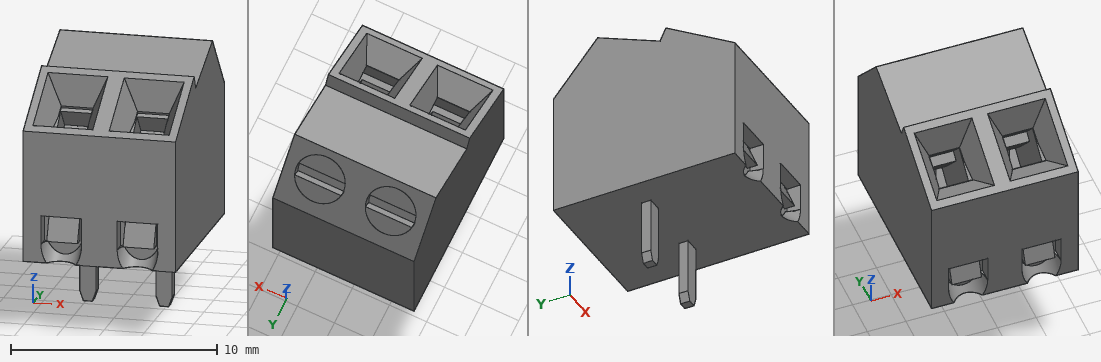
import cadquery as cq
import math


overall_height = 13.0

pole_count = 2
pole_pitch = 3.81
housing_width = pole_count * pole_pitch
housing_depth = 10.0
front_wall_top = 6.62
entry_ridge_y, entry_ridge_z = 3.8, 8.8
notch_y, notch_z = 4.12, 8.12
peak_y, peak_z = 7.55, 9.5
back_wall_top = 6.64

screw_face_y = 8.67
head_diameter = 2.6
head_length = 1.56
shank_diameter = 1.7
slot_width = 0.7
slot_depth = 0.5

cage_half_length = 2.07
cage_inside_width = 1.82
cage_side_wall = 0.38
cage_end_wall = 0.65
cage_inside_height = 2.03
plate_depth = 4.86

pin_thickness = 0.51
leg_front_y = 5.43
leg_width = 0.8
leg_length = overall_height - peak_z
tip_width = 0.44
tip_length = 0.51

funnel_width = 2.99
funnel_margin = 0.42
funnel_end_width = 1.59
funnel_end_length = 1.66
funnel_depth = 1.3
throat_length = 0.2
lower_lip_y, lower_lip_z = 1.65, 6.23
upper_lip_y, upper_lip_z = 3.21, 6.86

pocket_width = 2.03
pocket_depth = 0.74
pocket_bottom = 0.92
pocket_top = 2.38
bore_front_z = 0.99
bore_tilt = 45.0
rib_width = 1.53
rib_bottom = 1.04
rib_front_y = 0.2

back_slope_length = math.hypot(housing_depth - peak_y, peak_z - back_wall_top)
axis_y = (peak_z - back_wall_top) / back_slope_length
axis_z = (housing_depth - peak_y) / back_slope_length
screw_face_z = back_wall_top + (housing_depth - screw_face_y) * axis_y / axis_z
entry_slope_length = math.hypot(entry_ridge_y, entry_ridge_z - front_wall_top)
cage_width = cage_inside_width + 2 * cage_side_wall
cage_inner_front = -plate_depth - cage_inside_height
cage_outer_front = cage_inner_front - cage_end_wall
cage_outer_back = -plate_depth + cage_end_wall
pole_xs = [(i - (pole_count - 1) / 2) * pole_pitch for i in range(pole_count)]


def yz_point(along, across):
    """(y, z) of a point given along the screw axis and across it, from the screw face centre."""
    return (
        screw_face_y + along * axis_y - across * axis_z,
        screw_face_z + along * axis_z + across * axis_y,
    )


def prism(points, width):
    """YZ outline extruded to both sides of X = 0."""
    return cq.Workplane("YZ").polyline(points).close().extrude(width / 2, both=True)


def tilted_block(along_min, along_max, half_across, width):
    """Block lined up with the screw axis."""
    return prism(
        [
            yz_point(along_min, -half_across),
            yz_point(along_max, -half_across),
            yz_point(along_max, half_across),
            yz_point(along_min, half_across),
        ],
        width,
    )


def axis_cylinder(diameter, along_min, along_max):
    """Cylinder on the screw axis."""
    y, z = yz_point(along_min, 0)
    plane = cq.Plane(origin=(0, y, z), xDir=(1, 0, 0), normal=(0, axis_y, axis_z))
    return cq.Workplane(plane).circle(diameter / 2).extrude(along_max - along_min)


def make_screw():
    head = axis_cylinder(head_diameter, -head_length, 0)
    shank = axis_cylinder(shank_diameter, -plate_depth, -head_length)
    half_slot = slot_width / 2
    slot = tilted_block(-slot_depth, slot_depth, half_slot, 2 * head_diameter)
    return head.union(shank).cut(slot)


def make_cage():
    outside = tilted_block(cage_outer_front, cage_outer_back, cage_half_length, cage_width)
    inside = tilted_block(cage_inner_front, -plate_depth, 2 * cage_half_length, cage_inside_width)
    screw_hole = axis_cylinder(shank_diameter, -plate_depth, cage_outer_back)
    return outside.cut(inside).cut(screw_hole)


def bend_point(along, leg_y):
    """Where a face of the contact plate meets the matching face of the leg."""
    across = (screw_face_y + along * axis_y - leg_y) / axis_z
    return yz_point(along, across)


def make_pin():
    plate_front = -plate_depth - pin_thickness
    leg_back_y = leg_front_y + pin_thickness
    plate_end = shank_diameter / 2
    front_bend = bend_point(plate_front, leg_front_y)
    side_outline = prism(
        [
            (leg_front_y, -leg_length),
            (leg_back_y, -leg_length),
            bend_point(-plate_depth, leg_back_y),
            yz_point(-plate_depth, plate_end),
            yz_point(plate_front, plate_end),
            front_bend,
        ],
        cage_inside_width,
    )
    half_plate = cage_inside_width / 2
    half_leg = leg_width / 2
    half_tip = tip_width / 2
    shoulder_z = front_bend[1]
    right_edge = [
        (half_tip, -leg_length),
        (half_leg, tip_length - leg_length),
        (half_leg, shoulder_z),
        (half_plate, shoulder_z),
        (half_plate, peak_z),
    ]
    left_edge = [(-x, z) for x, z in reversed(right_edge)]
    front_outline = (
        cq.Workplane("XZ").polyline(right_edge + left_edge).close().extrude(-housing_depth)
    )
    return side_outline.intersect(front_outline)


def wire_entry():
    """Tapered funnel and its throat, cut square into the sloping front face."""
    rise = entry_ridge_z - front_wall_top
    face = cq.Plane(
        origin=(0, entry_ridge_y / 2, front_wall_top + rise / 2),
        xDir=(1, 0, 0),
        normal=(0, -rise / entry_slope_length, entry_ridge_y / entry_slope_length),
    )
    funnel_length = entry_slope_length - 2 * funnel_margin
    funnel = (
        cq.Workplane(face)
        .rect(funnel_width, funnel_length)
        .workplane(offset=-funnel_depth)
        .rect(funnel_end_width, funnel_end_length)
        .loft(ruled=True)
    )
    throat = (
        cq.Workplane(face)
        .workplane(offset=-funnel_depth)
        .rect(funnel_end_width, funnel_end_length)
        .extrude(-throat_length)
    )
    return funnel.union(throat)


def clamp_cavity():
    """Room for the cage, and the wire chamber between it and the funnel."""
    seat = tilted_block(cage_outer_front, cage_outer_back, cage_half_length, cage_width)
    chamber = prism(
        [
            yz_point(cage_outer_front, cage_half_length),
            yz_point(cage_outer_back, cage_half_length),
            (upper_lip_y, upper_lip_z),
            (lower_lip_y, lower_lip_z),
        ],
        cage_width,
    )
    return seat.union(chamber)


def front_pocket():
    """Square pocket over a tilted bore of the same width, less the rib at its back."""
    opening = cq.Workplane("XY").box(
        pocket_width, pocket_depth, pocket_top - pocket_bottom, centered=(True, False, False)
    ).translate((0, 0, pocket_bottom))
    below_top = cq.Workplane("XY").box(
        pocket_width, pocket_depth, 2 * pocket_top, centered=(True, False, True)
    )
    tilt = math.radians(bore_tilt)
    bore_plane = cq.Plane(
        origin=(0, 0, bore_front_z), xDir=(1, 0, 0), normal=(0, math.cos(tilt), math.sin(tilt))
    )
    bore = (
        cq.Workplane(bore_plane)
        .circle(pocket_width / 2)
        .extrude(2 * pocket_width, both=True)
        .intersect(below_top)
    )
    rib = prism(
        [
            (pocket_depth, pocket_top),
            (rib_front_y, rib_bottom),
            (pocket_depth, rib_bottom),
        ],
        rib_width,
    )
    return opening.union(bore).cut(rib)


def make_housing():
    housing = prism(
        [
            (0, 0),
            (housing_depth, 0),
            (housing_depth, back_wall_top),
            (peak_y, peak_z),
            (notch_y, notch_z),
            (entry_ridge_y, entry_ridge_z),
            (0, front_wall_top),
        ],
        housing_width,
    )
    head_bore = axis_cylinder(head_diameter, -head_length, head_length)
    shank_bore = axis_cylinder(shank_diameter, -plate_depth, 0)
    cuts = [wire_entry(), clamp_cavity(), head_bore, shank_bore, front_pocket(), make_pin()]
    for x in pole_xs:
        for cut in cuts:
            housing = housing.cut(cut.translate((x, 0, 0)))
    return housing


housing = make_housing()
screws = []
cages = []
pins = []
for x in pole_xs:
    screws.append(make_screw().translate((x, 0, 0)))
    cages.append(make_cage().translate((x, 0, 0)))
    pins.append(make_pin().translate((x, 0, 0)))

bodies = [housing, *screws, *cages, *pins]
result = cq.Compound.makeCompound([body.solids().val() for body in bodies])